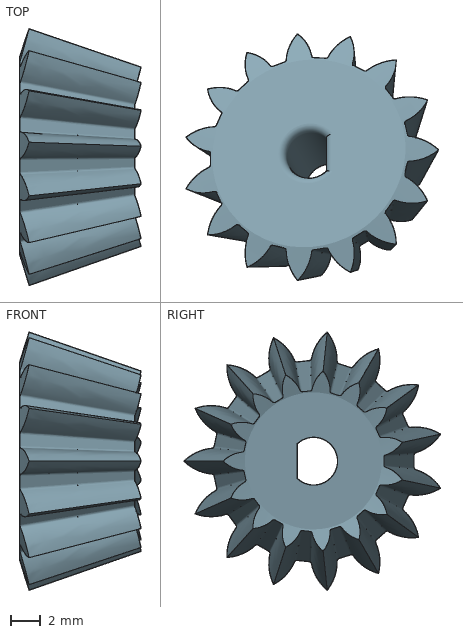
import cadquery as cq
import math

overall_height = 17.36
overall_length = 8.2
tooth_count = 15
pitch_angle = 360 / tooth_count
tip_radius = overall_height / 2 / math.cos(math.radians(pitch_angle / 4))
apex_x = 25.62

face_radius = 6.6
tip_setback = 0.66
back_cone_slope = tip_setback / (tip_radius - face_radius)
end_scale = (apex_x - overall_length) / (apex_x - tip_setback)

section_tip_radius = tip_radius * apex_x / (apex_x - tip_setback)
root_radius = 6.74
root_half_width = 0.89
flank_mid_radius = 7.9
flank_mid_half_width = 0.65
root_fillet = 0.15

bore_radius = 1.6
bore_flat_offset = 1.1
mouth_fillet = 0.5

trim_overrun = 0.17
selection_margin = 0.17


def turned(radial, across, angle):
    """Return a (Y, Z) point given along and across a tooth at an angle."""
    a = math.radians(angle)
    return (
        radial * math.cos(a) - across * math.sin(a),
        radial * math.sin(a) + across * math.cos(a),
    )


def gear_section():
    """Toothed outline at X = 0, with one tooth pointing along -Y."""
    first_angle = 180
    outline = cq.Workplane("YZ").moveTo(*turned(root_radius, -root_half_width, first_angle))
    for tooth in range(tooth_count):
        angle = first_angle + tooth * pitch_angle
        tip = turned(section_tip_radius, 0, angle)
        rising_mid = turned(flank_mid_radius, -flank_mid_half_width, angle)
        falling_mid = turned(flank_mid_radius, flank_mid_half_width, angle)
        falling_root = turned(root_radius, root_half_width, angle)
        outline = outline.threePointArc(rising_mid, tip)
        outline = outline.threePointArc(falling_mid, falling_root)
        if tooth < tooth_count - 1:
            outline = outline.lineTo(*turned(root_radius, -root_half_width, angle + pitch_angle))
    return outline.close().wire().val()


def tapered_teeth():
    """Teeth shrinking towards the apex, with rounded roots."""
    near = gear_section()
    far_scale = 1 - overall_length / apex_x
    far = near.scale(far_scale).translate(cq.Vector(overall_length, 0, 0))
    teeth = cq.Workplane(cq.Solid.makeLoft([near, far], True))
    middle_scale = (1 + far_scale) / 2
    root_limit = (root_radius + flank_mid_radius) / 2 * middle_scale
    root_edges = [
        edge
        for edge in teeth.edges().vals()
        if edge.BoundingBox().xlen > overall_length / 2
        and math.hypot(edge.Center().y, edge.Center().z) < root_limit
    ]
    return teeth.newObject(root_edges).fillet(root_fillet)


def conical_envelope():
    """Turned body whose flat ends give way to parallel cones across the teeth."""
    outer_radius = section_tip_radius + trim_overrun
    far_face_radius = face_radius * end_scale
    far_face_x = apex_x - apex_x * end_scale
    return (
        cq.Workplane("XY")
        .moveTo(0, 0)
        .lineTo(0, face_radius)
        .lineTo((outer_radius - face_radius) * back_cone_slope, outer_radius)
        .lineTo(far_face_x + (outer_radius - far_face_radius) * back_cone_slope, outer_radius)
        .lineTo(far_face_x, far_face_radius)
        .lineTo(far_face_x, 0)
        .close()
        .revolve(360, (0, 0, 0), (1, 0, 0))
    )


def bore():
    """Through bore with its flat on the -Y side."""
    flat_half_height = math.sqrt(bore_radius**2 - bore_flat_offset**2)
    return (
        cq.Workplane("YZ")
        .moveTo(-bore_flat_offset, -flat_half_height)
        .threePointArc((bore_radius, 0), (-bore_flat_offset, flat_half_height))
        .close()
        .extrude(overall_length)
    )


body = tapered_teeth().intersect(conical_envelope()).cut(bore())
mouth_reach = bore_radius + selection_margin
mouth = cq.selectors.BoxSelector(
    (-selection_margin, -mouth_reach, -mouth_reach),
    (selection_margin, mouth_reach, mouth_reach),
    boundingbox=True,
)
result = body.edges(mouth).fillet(mouth_fillet).solids()